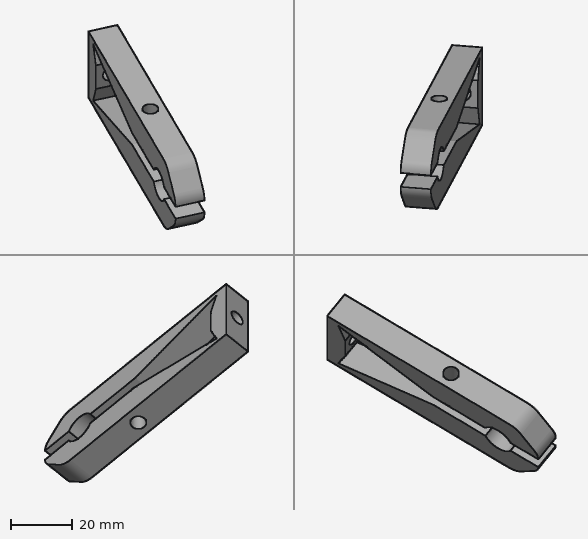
import cadquery as cq

length = 83.7
thickness = 10.0
height = 27.3
half_height = height / 2

slot_width = 4.85
half_slot = slot_width / 2
nose_cut = 8.9
shoulder_radius = 7.0
tip_radius = 5.6
edge_margin = 0.4

seat_x = 67.7
seat_diameter = 11.05

window_back_x = 7.2
window_back_half = 4.85
window_corner_x = 4.5
window_corner_half = 11.6
taper_end_x = 42.0

hole_diameter = 5.2
cross_hole_x = 45.6


def make_blank():
    """Flat block with its nose corners sloped at 45 degrees and rounded."""
    block = cq.Workplane("XY").box(length, thickness, height).translate((length / 2, 0, 0))
    block = block.edges("|Y and >X").chamfer(nose_cut)
    block = block.edges("|Y and >X").fillet(tip_radius)
    shoulder_edges = cq.selectors.BoxSelector(
        (length - nose_cut - edge_margin, -thickness, -height),
        (length - nose_cut + edge_margin, thickness, height),
    )
    return block.edges("|Y").edges(shoulder_edges).fillet(shoulder_radius)


def make_window():
    """Window, jaw slot and rod seat, cut through the thickness."""
    upper = [
        (window_back_x, window_back_half),
        (window_corner_x, window_corner_half),
        (taper_end_x, half_slot),
        (length, half_slot),
    ]
    lower = [(x, -z) for x, z in reversed(upper)]
    opening = cq.Workplane("XZ").polyline(upper + lower).close().extrude(thickness / 2, both=True)
    seat = (
        cq.Workplane("XZ")
        .center(seat_x, 0)
        .circle(seat_diameter / 2)
        .extrude(thickness / 2, both=True)
    )
    return opening.union(seat)


def make_holes():
    """Cross hole through both arms and a lengthwise hole through the back wall."""
    cross = (
        cq.Workplane("XY")
        .center(cross_hole_x, 0)
        .circle(hole_diameter / 2)
        .extrude(half_height, both=True)
    )
    back = cq.Workplane("YZ").circle(hole_diameter / 2).extrude(window_back_x)
    return cross.union(back)


result = make_blank().cut(make_window()).cut(make_holes())